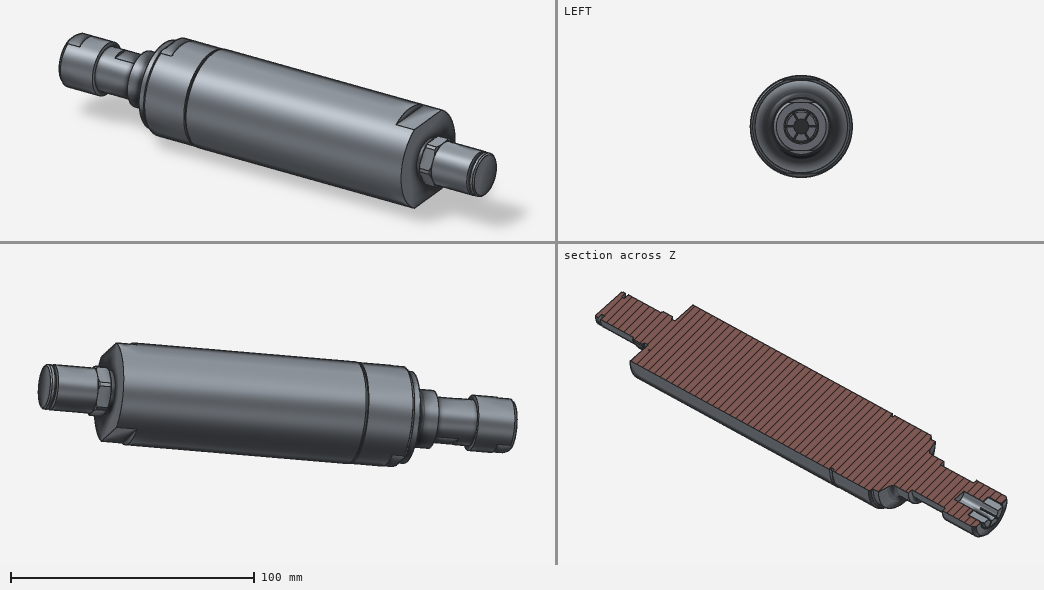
import cadquery as cq
import math

total_length = 201.0

collet_tip_diameter = 12.0
collet_diameter = 13.3
collet_bore = 6.0
collet_bore_depth = 20.0
slot_count = 6
slot_width = 0.6
slot_depth = 8.0

nut_start = 1.0
nut_end = 17.9
nut_diameter = 23.0
nut_face_diameter = 20.5
nut_chamfer_length = 1.5
nut_seat_diameter = 14.3
nut_seat_depth = 0.6
nut_flat_end = 8.0
nut_across_flats = 19.9

shaft_diameter = 19.0
shaft_flat_start = 24.3
shaft_flat_end = 34.2
shaft_across_flats = 17.0
collar_start = 35.2
collar_end = 41.4
collar_diameter = 24.0

flare_arc_diameter = 28.5
flare_arc_end = 44.0
rim_start = 45.2
rim_diameter = 38.0
cap_start = 48.0
cap_end = 68.0
cap_diameter = 41.5
cap_face_diameter = 40.0
cap_chamfer_length = 1.0
cap_flat_end = 54.0
cap_across_flats = 38.2

groove_width = 1.2
groove_diameter = 39.4
housing_end = 173.2
housing_diameter = 42.0
housing_flat_start = 164.4
housing_across_flats = 36.2

neck_diameter = 18.0
hex_start = 175.0
hex_end = 180.6
hex_across_flats = 18.7
hex_corner_diameter = 20.7
hex_face_diameter = 19.3
hex_chamfer_length = 0.5
fitting_diameter = 18.7
fitting_end = 197.7
ring_neck_diameter = 13.3
ring_start = 199.1
ring_diameter = 18.5
ring_face_diameter = 17.3
ring_chamfer_length = 0.6


def cone(start, end, start_diameter, end_diameter):
    """Solid of revolution about X with straight sides between two diameters."""
    return (
        cq.Workplane("XY")
        .moveTo(start, 0)
        .lineTo(start, start_diameter / 2)
        .lineTo(end, end_diameter / 2)
        .lineTo(end, 0)
        .close()
        .revolve(360, (0, 0, 0), (1, 0, 0))
    )


def cylinder(start, end, diameter):
    """Cylinder about X."""
    return cone(start, end, diameter, diameter)


def cut_flats(body, start, end, across_flats):
    """Cut two parallel flats, facing +Z and -Z, over a length of the body."""
    reach = housing_diameter
    for side in (1, -1):
        block = cq.Workplane("XY").box(end - start, reach, reach).translate(
            ((start + end) / 2, 0, side * (across_flats + reach) / 2)
        )
        body = body.cut(block)
    return body


def make_nut():
    chamfer_end = nut_start + nut_chamfer_length
    nut = cone(nut_start, chamfer_end, nut_face_diameter, nut_diameter)
    nut = nut.union(cylinder(chamfer_end, nut_end, nut_diameter))
    nut = cut_flats(nut, nut_start, nut_flat_end, nut_across_flats)
    return nut.cut(cylinder(nut_start, nut_start + nut_seat_depth, nut_seat_diameter))


def make_collet():
    collet = cone(0, nut_start, collet_tip_diameter, collet_diameter)
    return collet.union(cylinder(nut_start, nut_end, collet_diameter))


def cut_collet_openings(body):
    """Cut the tool bore and the radial slots that divide the collet into jaws."""
    for index in range(slot_count):
        slot = (
            cq.Workplane("XY")
            .box(slot_depth, collet_diameter / 2, slot_width)
            .translate((slot_depth / 2, collet_diameter / 4, 0))
            .rotate((0, 0, 0), (1, 0, 0), index * 360 / slot_count)
        )
        body = body.cut(slot)
    return body.cut(cylinder(0, collet_bore_depth, collet_bore))


def make_shaft():
    shaft = cylinder(nut_end, collar_start, shaft_diameter)
    return cut_flats(shaft, shaft_flat_start, shaft_flat_end, shaft_across_flats)


def make_front_cover():
    """Collar running through a concave arc and a steep cone into the rim."""
    collar_radius = collar_diameter / 2
    return (
        cq.Workplane("XY")
        .moveTo(collar_start, 0)
        .lineTo(collar_start, collar_radius)
        .lineTo(collar_end, collar_radius)
        .tangentArcPoint((flare_arc_end, flare_arc_diameter / 2), relative=False)
        .lineTo(rim_start, rim_diameter / 2)
        .lineTo(cap_start, rim_diameter / 2)
        .lineTo(cap_start, 0)
        .close()
        .revolve(360, (0, 0, 0), (1, 0, 0))
    )


def make_cap():
    chamfer_end = cap_start + cap_chamfer_length
    cap = cone(cap_start, chamfer_end, cap_face_diameter, cap_diameter)
    cap = cap.union(cylinder(chamfer_end, cap_end, cap_diameter))
    return cut_flats(cap, cap_start, cap_flat_end, cap_across_flats)


def make_housing():
    housing_start = cap_end + groove_width
    housing = cylinder(housing_start, housing_end, housing_diameter)
    housing = cut_flats(housing, housing_flat_start, housing_end, housing_across_flats)
    return housing.union(cylinder(cap_end, housing_start, groove_diameter))


def make_hex():
    """Hexagon with two flats facing +Z and -Z and its corners turned down."""
    corner_to_corner = hex_across_flats / math.cos(math.pi / 6)
    prism = (
        cq.Workplane("YZ", origin=(hex_start, 0, 0))
        .polygon(6, corner_to_corner)
        .extrude(hex_end - hex_start)
    )
    front = hex_start + hex_chamfer_length
    back = hex_end - hex_chamfer_length
    blank = (
        cone(hex_start, front, hex_face_diameter, hex_corner_diameter)
        .union(cylinder(front, back, hex_corner_diameter))
        .union(cone(back, hex_end, hex_corner_diameter, hex_face_diameter))
    )
    return prism.intersect(blank)


def make_fitting():
    ring_edge = total_length - ring_chamfer_length
    return (
        cylinder(housing_end, hex_start, neck_diameter)
        .union(make_hex())
        .union(cylinder(hex_end, fitting_end, fitting_diameter))
        .union(cylinder(fitting_end, ring_start, ring_neck_diameter))
        .union(cylinder(ring_start, ring_edge, ring_diameter))
        .union(cone(ring_edge, total_length, ring_diameter, ring_face_diameter))
    )


result = make_nut().union(make_collet())
result = cut_collet_openings(result)
for section in (make_shaft(), make_front_cover(), make_cap(), make_housing(), make_fitting()):
    result = result.union(section)